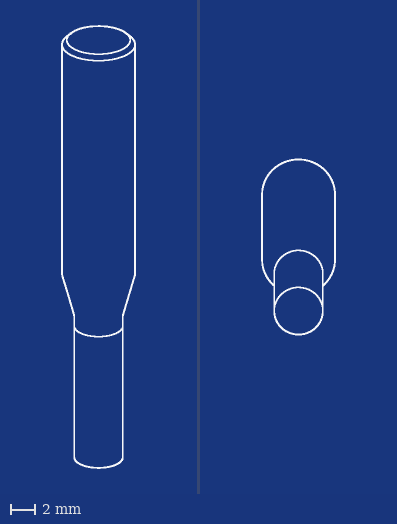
import cadquery as cq

overall_length = 38.1
shank_diameter = 6.0
tip_diameter = 4.0
tip_length = 12.0
neck_length = 1.0
taper_length = 3.75
end_chamfer = 0.4

shank_radius = shank_diameter / 2
tip_radius = tip_diameter / 2

neck_bottom = tip_length
taper_bottom = neck_bottom + neck_length
taper_top = taper_bottom + taper_length


def make_shank():
    """Turned shank: neck, taper, cylindrical grip and a chamfered upper end."""
    half_profile = (
        cq.Workplane("XZ")
        .moveTo(0, neck_bottom)
        .lineTo(tip_radius, neck_bottom)
        .lineTo(tip_radius, taper_bottom)
        .lineTo(shank_radius, taper_top)
        .lineTo(shank_radius, overall_length - end_chamfer)
        .lineTo(shank_radius - end_chamfer, overall_length)
        .lineTo(0, overall_length)
        .close()
    )
    return half_profile.revolve(360, (0, 0, 0), (0, 1, 0))


def make_tip():
    """Plain cylindrical tip, flush with the neck it meets end to end."""
    return cq.Workplane("XY").circle(tip_radius).extrude(tip_length)


shank = make_shank()
tip = make_tip()

result = cq.Compound.makeCompound([shank.val(), tip.val()])